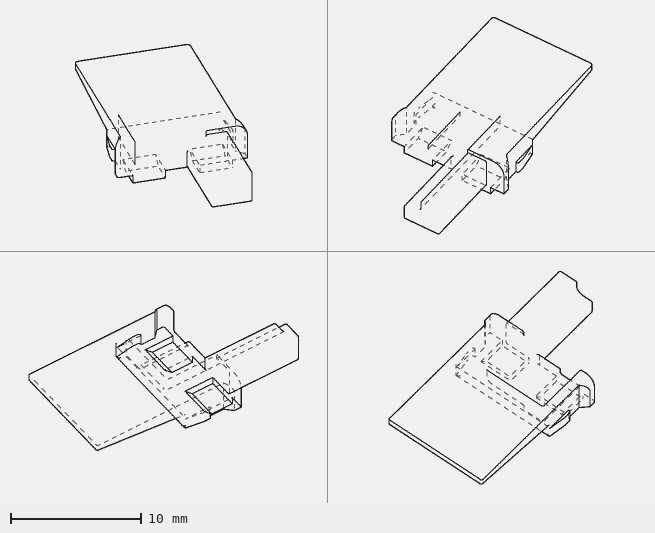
import cadquery as cq


length = 19.6
width = 10.45
height = 3.65
edge_radius = 0.15

body_end = 13.07
body_depth = 2.98
body_half_width = 4.63
shoulder_radius = 1.0
tip_thickness = 0.69
step_x = 8.1
step_depth = 1.55
step_corner_radius = 0.35
step_side_radius = 0.18

wing_start = 11.82
wing_flare = width / 2 - body_half_width

detent_start = step_x + step_side_radius
detent_crest_start = 9.82
detent_end = 10.55
detent_rise = 0.24
detent_radius = 0.18
detent_top = 1.96

foot_start = 10.49
foot_inner = 1.37
foot_outer = 4.0
foot_bevel = height - body_depth

arm_near = 0.33
arm_far = 3.6
arm_top = 0.35
arm_root = foot_start

pocket_start = 8.49
groove_wall = 1.86
groove_radius = 0.6
shelf_depth = 1.6
shelf_edge = -1.85
well_depth = shelf_depth + groove_radius
well_wall = -3.78

near = 0.002


def make_blade():
    """Wedge from the tip to the body end, rounded at the tip and along its lower rim."""
    slope = (step_depth - tip_thickness) / step_x
    end_depth = tip_thickness + slope * body_end
    wedge = (
        cq.Workplane("XZ")
        .moveTo(0, 0)
        .lineTo(body_end, 0)
        .lineTo(body_end, -end_depth)
        .lineTo(0, -tip_thickness)
        .close()
        .extrude(body_half_width, both=True)
    )
    tip_edges = wedge.faces("<X").edges("not >Z").vals()
    sloping_edges = wedge.edges("not (|X or |Y or |Z)").vals()
    return wedge.newObject(tip_edges + sloping_edges).fillet(edge_radius)


def make_block():
    """Deep rear half of the body, with rounded front corners and a rounder lower front edge."""
    size = (body_end - step_x, 2 * body_half_width, body_depth)
    place = (step_x, 0, -body_depth)
    block = cq.Workplane("XY").box(*size, centered=(False, True, False)).translate(place)
    round_below = block.edges("<X and <Z").fillet(step_corner_radius)
    return block.edges("<X and |Z").fillet(step_side_radius).intersect(round_below)


def make_wings():
    """Outline of the flared end, cut to the rounded shoulders later."""
    outline = [
        (wing_start, body_half_width),
        (wing_start + wing_flare, width / 2),
        (body_end, width / 2),
        (body_end, -width / 2),
        (wing_start + wing_flare, -width / 2),
        (wing_start, -body_half_width),
    ]
    return cq.Workplane("XY").polyline(outline).close().extrude(-body_depth)


def make_shoulder_envelope():
    """Full-width bar whose long upper edges give the rounded shoulders."""
    bar = cq.Workplane("XY").box(body_end, width, body_depth, centered=(False, True, False))
    return bar.translate((0, 0, -body_depth)).edges("|X and >Z").fillet(shoulder_radius)


def make_detent():
    """Ramped snap on the +Y flank, rooted inside the body."""
    crest = body_half_width + detent_rise
    root = body_half_width - detent_rise
    return (
        cq.Workplane("XY", origin=(0, 0, -body_depth))
        .moveTo(detent_start, body_half_width)
        .lineTo(detent_crest_start, crest)
        .lineTo(detent_end - detent_radius, crest)
        .radiusArc((detent_end, crest - detent_radius), detent_radius)
        .lineTo(detent_end, root)
        .lineTo(detent_start, root)
        .close()
        .extrude(body_depth - detent_top)
    )


def make_foot():
    """Foot on the +Y side with a bevelled leading end."""
    return (
        cq.Workplane("XZ", origin=(0, foot_outer, 0))
        .moveTo(foot_start, -body_depth)
        .lineTo(foot_start + foot_bevel, -height)
        .lineTo(body_end, -height)
        .lineTo(body_end, -body_depth)
        .close()
        .extrude(foot_outer - foot_inner)
    )


def make_arm():
    """Plain bar that starts inside the body and reaches the full length."""
    size = (length - arm_root, arm_far - arm_near, body_depth - arm_top)
    place = (arm_root, arm_near, -body_depth)
    return cq.Workplane("XY").box(*size, centered=False).translate(place)


def make_pocket_cutter():
    """Groove, shelf and well as one section run out past the arm, with rounded floor edges."""
    groove_floor_edge = groove_wall - groove_radius
    cutter = (
        cq.Workplane("YZ", origin=(pocket_start, 0, 0))
        .moveTo(groove_wall, 0)
        .lineTo(groove_wall, groove_radius - shelf_depth)
        .radiusArc((groove_floor_edge, -shelf_depth), groove_radius)
        .lineTo(shelf_edge, -shelf_depth)
        .lineTo(shelf_edge, -well_depth)
        .lineTo(well_wall, -well_depth)
        .lineTo(well_wall, 0)
        .close()
        .extrude(length)
    )
    middle = pocket_start + length / 2
    for y, depth in [(shelf_edge, shelf_depth), (shelf_edge, well_depth), (well_wall, well_depth)]:
        nearest = cq.selectors.NearestToPointSelector((middle, y, -depth))
        cutter = cutter.edges(nearest).fillet(edge_radius)
    return cutter.faces("<X").edges("not >Z").fillet(edge_radius)


def fillet_where(part, chosen):
    """Round every edge whose centre and bounding box satisfy the given test."""
    edges = [edge for edge in part.edges().vals() if chosen(edge.Center(), edge.BoundingBox())]
    return part.newObject(edges).fillet(edge_radius)


def on_pocket_rim(center, box):
    """Edges around the pocket mouth in the top face."""
    across = well_wall - near < box.ymin and box.ymax < groove_wall + near
    return across and box.zmin > -near and box.xmin > pocket_start - near


def on_open_end(center, box):
    """Edges of the body's end face on the -Y side of the arm, apart from its lower edge."""
    in_end_face = box.xmin > body_end - near and box.xmax < body_end + near
    return in_end_face and center.y < arm_near - near and center.z > near - body_depth


def on_arm(center, box):
    """Long corners and end-face edges of the arm, leaving the two tangent lines of its groove."""
    along_groove = box.xmin < arm_root and box.xmax > length - near
    return box.xmax > length - near and not along_groove


body = make_blade().union(make_block()).union(make_wings()).intersect(make_shoulder_envelope())
part = body.union(make_arm()).cut(make_pocket_cutter())
for chosen in (on_pocket_rim, on_open_end, on_arm):
    part = fillet_where(part, chosen)

for feature in (make_detent(), make_foot()):
    part = part.union(feature).union(feature.mirror("XZ"))

result = part